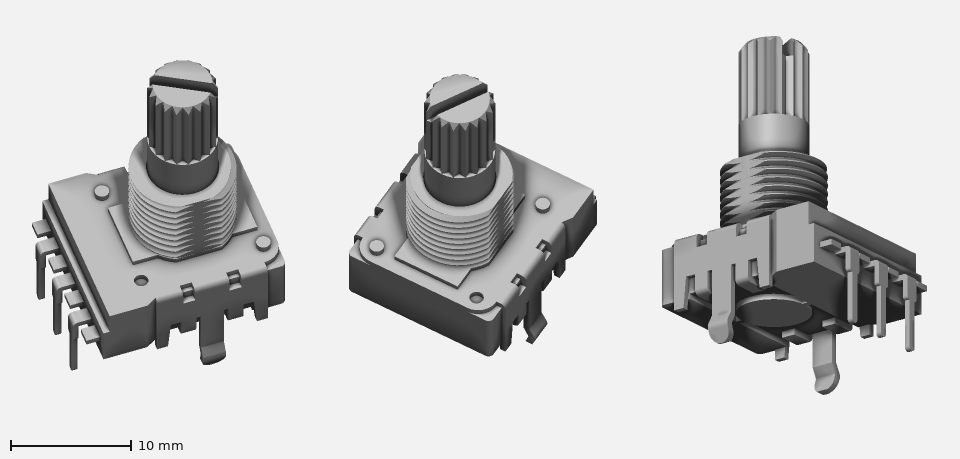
import cadquery as cq
import math


sheet = 0.55
cover_half_x = 7.3
cover_side_length = 9.78
cover_half_y = cover_side_length / 2
plate_half_x = 6.45
plate_back = 6.68
plate_front = -7.9
plate_corner_radius = 1.75
cover_inner_x = cover_half_x - sheet
plate_bottom = -sheet

shaft_diameter = 5.9
shaft_top = 18.2
knurl_length = 7.08
tooth_count = 18
tooth_root_radius = 2.5
shaft_chamfer_height = 0.55
shaft_chamfer_depth = 0.45
driver_slot_width = 1.0
driver_slot_depth = 1.7
driver_slot_angle = 60

bushing_top = 7.25
bushing_bore = 6.08
thread_diameter = 8.97
thread_root_diameter = 8.03
thread_crest_width = 0.1
thread_base_width = 0.63
thread_start = -0.05
thread_turns = 11
thread_rise = 8.25
thread_pitch = thread_rise / thread_turns
thread_overlap = 0.1
bushing_flats = 8.0
pad_width = 6.1
pad_length = 10.98
pad_height = 0.45
thread_bottom = 0.5

peg_diameter = 1.2
peg_height = 0.57
peg_x = 4.82
peg_y = 5.4

bend_radius = 0.5
notch_near, notch_far = 1.52, 2.58
notch_inner_x = 6.42
notch_bottom = -1.32
wall_bottom = -3.7
foot_bottom = -6.42
foot_inner_top = 3.67
foot_inner_bottom = 3.93
tab_near, tab_far = 1.43, 2.72
tab_inner_x = 4.82
leg_width = 2.0
leg_bottom = -10.46
leg_kink_start = -7.83
leg_kink_height = -8.9
leg_kink_x = 7.95
leg_tip_x = 7.3
leg_kink_drop = 0.17
leg_tip_rise = 0.2
kink_outer_radius = 0.72

housing_bottom = -5.5
housing_width = 15.0
housing_half_x = housing_width / 2
housing_back_half_x = 6.95
housing_back = plate_back
housing_corner_radius = 0.5
bevel_end = -5.82
step_face = -9.15
step_height = -2.05
housing_front = -9.7
recess_depth = 0.5
recess_half_y = 3.7
recess_top = housing_bottom + recess_depth
recess_boss_diameter = 6.36
recess_rib_width = 0.57

terminal_top = -3.5
terminal_sheet = 0.5
terminal_bottom = -10.24
terminal_front = -11.32
terminal_wide = 1.23
terminal_narrow = 0.7
terminal_shoulder = -5.75
terminal_bend_radius = 0.4
stub_front = -10.9
stub_width = 1.35
terminal_count = 3
terminal_span = 8.0
terminal_pitch = terminal_span / (terminal_count - 1)
stub_count = 4


def block(x_range, y_range, z_range):
    """Box between the given pairs of limits."""
    size = [high - low for low, high in (x_range, y_range, z_range)]
    corner = (x_range[0], y_range[0], z_range[0])
    return cq.Workplane("XY").box(*size, centered=False).translate(corner)


def cylinder(diameter, bottom, top):
    return cq.Workplane("XY").workplane(offset=bottom).circle(diameter / 2).extrude(top - bottom)


def both_sides(body):
    """Add the copy mirrored in the plane x = 0."""
    return body.union(body.mirror("YZ"))


def make_shaft():
    """Shaft with a knurl of pointed teeth, a chamfered end and a screwdriver slot."""
    radius = shaft_diameter / 2
    knurl_bottom = shaft_top - knurl_length
    shaft = cylinder(shaft_diameter, plate_bottom, knurl_bottom)

    half_tooth = math.pi / tooth_count
    outline = []
    for i in range(2 * tooth_count):
        angle = math.pi / 2 + i * half_tooth
        reach = radius if i % 2 == 0 else tooth_root_radius
        outline.append((reach * math.cos(angle), reach * math.sin(angle)))
    knurl_plane = cq.Workplane("XY").workplane(offset=knurl_bottom)
    knurl = knurl_plane.polyline(outline).close().extrude(knurl_length)

    chamfer_bottom = shaft_top - shaft_chamfer_height
    envelope = (
        cq.Workplane("XZ")
        .polyline([
            (0, knurl_bottom),
            (radius, knurl_bottom),
            (radius, chamfer_bottom),
            (radius - shaft_chamfer_depth, shaft_top),
            (0, shaft_top),
        ])
        .close()
        .revolve(360, (0, 0, 0), (0, 1, 0))
    )
    shaft = shaft.union(knurl.intersect(envelope))

    driver_slot = block(
        (-shaft_diameter, shaft_diameter),
        (-driver_slot_width / 2, driver_slot_width / 2),
        (shaft_top - driver_slot_depth, shaft_top),
    )
    return shaft.cut(driver_slot.rotate((0, 0, 0), (0, 0, 1), driver_slot_angle))


def make_thread_ridge():
    """Right-handed helical ridge of trapezoid section, longer than the bushing at both ends."""
    root = thread_root_diameter / 2
    crest = thread_diameter / 2
    half_crest = thread_crest_width / 2
    flank_slope = (thread_base_width / 2 - half_crest) / (crest - root)
    sunk = root - thread_overlap
    half_sunk = thread_base_width / 2 + flank_slope * thread_overlap
    section = (
        cq.Workplane("XZ")
        .polyline([(sunk, -half_sunk), (crest, -half_crest), (crest, half_crest), (sunk, half_sunk)])
        .close()
    )
    helix = cq.Wire.makeHelix(thread_pitch, thread_rise, root)
    return section.sweep(cq.Workplane(obj=helix), isFrenet=True).translate((0, 0, thread_start))


def between_flats(bottom, top):
    """Space between the two flats of the bushing."""
    half_flats = bushing_flats / 2
    return block((-half_flats, half_flats), (-thread_diameter, thread_diameter), (bottom, top))


def make_bushing_base():
    """Unthreaded foot of the bushing with its rectangular pad."""
    foot = cylinder(thread_diameter, plate_bottom, pad_height).intersect(
        between_flats(plate_bottom, pad_height)
    )
    pad = block(
        (-pad_width / 2, pad_width / 2),
        (-pad_length / 2, pad_length / 2),
        (plate_bottom, pad_height),
    )
    return foot.union(pad)


def make_threaded_barrel():
    """Barrel of the bushing; its thread is interrupted by the two flats."""
    barrel = cylinder(thread_root_diameter, plate_bottom, bushing_top)
    return barrel.union(make_thread_ridge().intersect(between_flats(thread_bottom, bushing_top)))


def make_plate():
    """Flat top of the cover, without its folded sides."""
    return (
        block((-plate_half_x, plate_half_x), (plate_front, plate_back), (plate_bottom, 0))
        .edges("|Z")
        .fillet(plate_corner_radius)
    )


def make_feet():
    """Tapered feet at the two ends of one folded side."""
    outline = [
        (cover_half_y, wall_bottom),
        (foot_inner_top, wall_bottom),
        (foot_inner_bottom, foot_bottom),
        (cover_half_y, foot_bottom),
    ]
    foot = cq.Workplane("YZ").workplane(offset=cover_inner_x).polyline(outline).close().extrude(sheet)
    return foot.union(foot.mirror("XZ"))


def make_tab():
    """Clamping tab folded under the housing."""
    tab_bottom = recess_top - sheet
    outer = block((tab_inner_x, cover_half_x), (tab_near, tab_far), (tab_bottom, wall_bottom))
    inner = block((tab_inner_x, cover_inner_x), (tab_near, tab_far), (recess_top, wall_bottom))
    return outer.edges(">X and <Z").fillet(bend_radius).cut(inner)


def make_leg():
    """Snap-in leg with an outward kink and a rounded tip."""
    half_width = leg_width / 2
    inner_kink_x = leg_kink_x - sheet - leg_kink_drop
    outline = [
        (cover_inner_x, wall_bottom),
        (cover_half_x, wall_bottom),
        (cover_half_x, leg_kink_start),
        (leg_kink_x, leg_kink_height),
        (leg_tip_x, leg_bottom),
        (leg_tip_x - sheet, leg_bottom + leg_tip_rise),
        (inner_kink_x, leg_kink_height),
        (cover_inner_x, leg_kink_start - leg_kink_drop),
    ]
    leg = cq.Workplane("XZ").polyline(outline).close().extrude(half_width, both=True)
    for x, radius in (
        (leg_kink_x, kink_outer_radius),
        (inner_kink_x, kink_outer_radius - sheet),
    ):
        kink = cq.selectors.NearestToPointSelector((x, 0, leg_kink_height))
        leg = leg.edges("|Y").edges(kink).fillet(radius)
    rounded = (
        cq.Workplane("YZ")
        .moveTo(-half_width, wall_bottom)
        .lineTo(-half_width, leg_bottom + half_width)
        .threePointArc((0, leg_bottom), (half_width, leg_bottom + half_width))
        .lineTo(half_width, wall_bottom)
        .close()
        .extrude(leg_kink_x)
    )
    return leg.intersect(rounded)


def make_folded_side():
    """The +X side of the cover, from the plate edge round the bend and down."""
    outer = block((0, cover_half_x), (-cover_half_y, cover_half_y), (wall_bottom, 0))
    inner = block((0, cover_inner_x), (-cover_half_y, cover_half_y), (wall_bottom, plate_bottom))
    tab = make_tab()
    side = outer.edges(">X and >Z").fillet(bend_radius).cut(inner)
    return side.union(make_feet()).union(tab).union(tab.mirror("XZ")).union(make_leg())


def make_cover():
    """Sheet cover together with the bushing that rises from it."""
    cover = make_plate().union(both_sides(make_folded_side())).union(make_bushing_base())

    notch = block((notch_inner_x, cover_half_x), (notch_near, notch_far), (notch_bottom, 0))
    cover = cover.cut(both_sides(notch.union(notch.mirror("XZ"))))

    peg_hole = cylinder(peg_diameter, plate_bottom, 0)
    for x in (-peg_x, peg_x):
        for y in (-peg_y, peg_y):
            cover = cover.cut(peg_hole.translate((x, y, 0)))
    return cover.union(make_threaded_barrel()).cut(cylinder(bushing_bore, plate_bottom, bushing_top))


def make_housing():
    """Moulded block with a stepped front, recessed for the cover and its clamping tabs."""
    height = -housing_bottom
    outline = [
        (-housing_back_half_x, housing_back),
        (housing_back_half_x, housing_back),
        (housing_back_half_x, -cover_half_y),
        (housing_half_x, bevel_end),
        (housing_half_x, housing_front),
        (-housing_half_x, housing_front),
        (-housing_half_x, bevel_end),
        (-housing_back_half_x, -cover_half_y),
    ]
    housing = cq.Workplane("XY").workplane(offset=housing_bottom).polyline(outline).close().extrude(height)
    housing = housing.edges("|Z and >Y").fillet(housing_corner_radius)

    step = block((-housing_half_x, housing_half_x), (housing_front, step_face), (step_height, 0))
    housing = housing.cut(step)

    side_room = block(
        (cover_inner_x, cover_half_x), (-cover_half_y, cover_half_y), (housing_bottom, 0)
    )
    rim_room = block((-cover_half_x, cover_half_x), (-cover_half_y, housing_back), (plate_bottom, 0))
    housing = housing.cut(make_plate()).cut(rim_room).cut(both_sides(side_room))

    recess = block(
        (recess_rib_width / 2, cover_half_x), (-recess_half_y, recess_half_y), (housing_bottom, recess_top)
    )
    recess = recess.cut(cylinder(recess_boss_diameter, housing_bottom, recess_top))
    housing = housing.cut(both_sides(recess))

    peg = cylinder(peg_diameter, plate_bottom, peg_height)
    for sign in (-1, 1):
        housing = housing.union(peg.translate((sign * peg_x, sign * peg_y, 0)))
    return housing


def make_terminal():
    """Right-angle pin that narrows below its shoulder and ends in a round tip."""
    wide = terminal_wide / 2
    narrow = terminal_narrow / 2
    shoulder_radius = wide - narrow
    inner_y = terminal_front + terminal_sheet
    underside = terminal_top - terminal_sheet
    side_outline = [
        (housing_front, terminal_top),
        (terminal_front, terminal_top),
        (terminal_front, terminal_bottom),
        (inner_y, terminal_bottom),
        (inner_y, underside),
        (housing_front, underside),
    ]
    bent_strip = cq.Workplane("YZ").polyline(side_outline).close().extrude(wide, both=True)
    bent_strip = bent_strip.edges("<Y and >Z").fillet(terminal_bend_radius)
    face = (
        cq.Workplane("XZ")
        .moveTo(-wide, terminal_top)
        .lineTo(wide, terminal_top)
        .lineTo(wide, terminal_shoulder + shoulder_radius)
        .radiusArc((narrow, terminal_shoulder), shoulder_radius)
        .lineTo(narrow, terminal_bottom + narrow)
        .threePointArc((0, terminal_bottom), (-narrow, terminal_bottom + narrow))
        .lineTo(-narrow, terminal_shoulder)
        .radiusArc((-wide, terminal_shoulder + shoulder_radius), shoulder_radius)
        .close()
        .extrude(-terminal_front)
    )
    return bent_strip.intersect(face)


def make_stub():
    """Short straight contact end between the pins."""
    return block(
        (-stub_width / 2, stub_width / 2),
        (stub_front, housing_front),
        (terminal_top - terminal_sheet, terminal_top),
    )


def row_of(make_body, count):
    """Separate copies spread evenly along X about the centre."""
    bodies = []
    for i in range(count):
        x = (i - (count - 1) / 2) * terminal_pitch
        bodies.append(make_body().translate((x, 0, 0)).solids().val())
    return bodies


shaft = make_shaft()
cover = make_cover()
housing = make_housing()
terminals = row_of(make_terminal, terminal_count)
stubs = row_of(make_stub, stub_count)

result = cq.Compound.makeCompound([
    shaft.solids().val(),
    cover.solids().val(),
    housing.solids().val(),
    *terminals,
    *stubs,
])